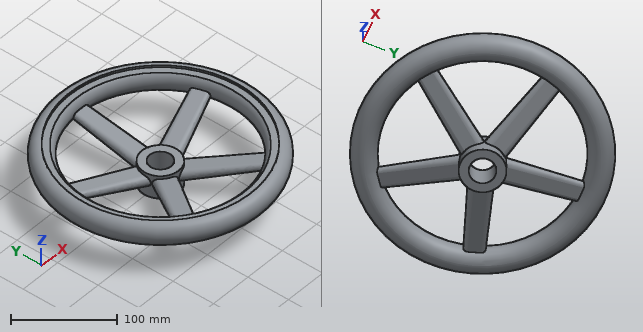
import cadquery as cq
import math

OUTER_RADIUS = 125.0
OVERALL_HEIGHT = 50.0
RIM_SECTION_RADIUS = 13.2
LEDGE_DEPTH = 2.5
RIM_CENTER_RADIUS = OUTER_RADIUS - RIM_SECTION_RADIUS
RIM_CENTER_Z = OVERALL_HEIGHT - RIM_SECTION_RADIUS

HUB_RADIUS = 22.5
BORE_RADIUS = 13.0
HUB_HEIGHT = 28.0

SPOKE_COUNT = 5
FIRST_SPOKE_ANGLE = 90.0
SPOKE_FLAT_WIDTH = 13.0
SPOKE_INNER_RADIUS = 17.5
SPOKE_OUTER_RADIUS = 107.5
SPOKE_INNER_THICKNESS = 12.5
SPOKE_OUTER_THICKNESS = 8.0
SPOKE_INNER_BOTTOM_Z = 11.0
SPOKE_OUTER_BOTTOM_Z = 31.0


def make_rim():
    """Revolve the rim section about the Z axis."""
    ledge_z = RIM_SECTION_RADIUS - LEDGE_DEPTH
    ledge_width = math.sqrt(RIM_SECTION_RADIUS**2 - ledge_z**2)
    top = (RIM_CENTER_RADIUS, OVERALL_HEIGHT)
    outermost = (OUTER_RADIUS, RIM_CENTER_Z)
    bottom = (RIM_CENTER_RADIUS, RIM_CENTER_Z - RIM_SECTION_RADIUS)
    innermost = (RIM_CENTER_RADIUS - RIM_SECTION_RADIUS, RIM_CENTER_Z)
    ledge_inner = (RIM_CENTER_RADIUS - ledge_width, OVERALL_HEIGHT - LEDGE_DEPTH)
    ledge_outer = (RIM_CENTER_RADIUS, OVERALL_HEIGHT - LEDGE_DEPTH)
    section = (
        cq.Workplane("XZ")
        .moveTo(*top)
        .threePointArc(outermost, bottom)
        .threePointArc(innermost, ledge_inner)
        .lineTo(*ledge_outer)
        .close()
    )
    return section.revolve(360, (0, 0, 0), (0, 1, 0))


def make_spoke():
    """Loft one spoke along +X, rising from the hub to the rim."""
    inner_center_z = SPOKE_INNER_BOTTOM_Z + SPOKE_INNER_THICKNESS / 2
    outer_center_z = SPOKE_OUTER_BOTTOM_Z + SPOKE_OUTER_THICKNESS / 2
    return (
        cq.Workplane("YZ", origin=(SPOKE_INNER_RADIUS, 0, inner_center_z))
        .slot2D(SPOKE_FLAT_WIDTH + SPOKE_INNER_THICKNESS, SPOKE_INNER_THICKNESS)
        .workplane(offset=SPOKE_OUTER_RADIUS - SPOKE_INNER_RADIUS)
        .center(0, outer_center_z - inner_center_z)
        .slot2D(SPOKE_FLAT_WIDTH + SPOKE_OUTER_THICKNESS, SPOKE_OUTER_THICKNESS)
        .loft(ruled=True)
    )


hub = cq.Workplane("XY").circle(HUB_RADIUS).extrude(HUB_HEIGHT)
bore = cq.Workplane("XY").circle(BORE_RADIUS).extrude(HUB_HEIGHT)

result = make_rim().union(hub)
spoke = make_spoke()
for index in range(SPOKE_COUNT):
    angle = FIRST_SPOKE_ANGLE + index * 360 / SPOKE_COUNT
    result = result.union(spoke.rotate((0, 0, 0), (0, 0, 1), angle))
result = result.cut(bore)